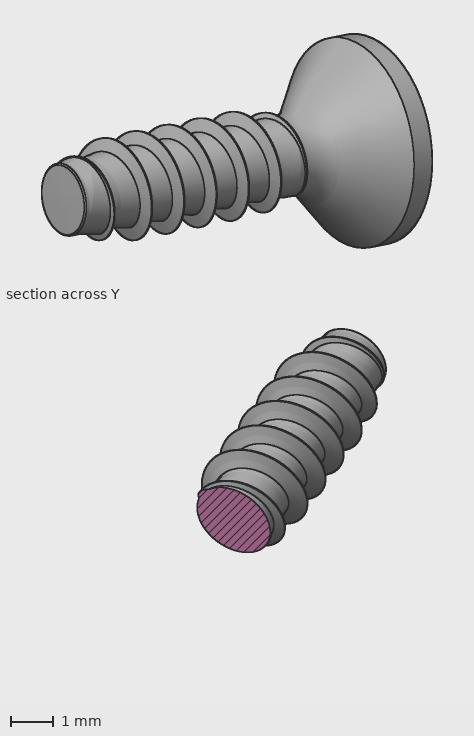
import cadquery as cq
import math

length = 9.0
head_radius = 2.5
rim_height = 0.56
rim_chamfer = 0.03

neck_radius = 0.96
fillet_radius = 1.01
neck_end = 2.72
root_start = 3.15
half_angle = math.radians(45)
fillet_start_radius = neck_radius + fillet_radius * (1 - math.cos(half_angle))
fillet_start = rim_height + head_radius - fillet_start_radius
fillet_end = fillet_start + fillet_radius * math.sin(half_angle)
fillet_mid_radius = neck_radius + fillet_radius * (1 - math.cos(half_angle / 2))
fillet_mid = fillet_end - fillet_radius * math.sin(half_angle / 2)

root_radius = 0.86
tip_chamfer = 0.04
tip_cone_height = 0.02
tip_rim = length - tip_cone_height
tip_taper_start = 8.46

six_turns = 5.7
pitch = six_turns / 6
crest_radius = 1.26
crest_x_depth = 3.54
thread_start = 2.34
full_start = 3.51
full_end = 7.56
thread_end = 8.91
start_crest_radius = 0.945
end_crest_radius = root_radius
points_per_piece = 8

thread_section = [(-0.3, -0.585), (-0.11, -0.225), (-0.02, 0.0), (0.01, 0.0), (0.2, -0.585)]

step_radius = 0.96
step_length = 0.6
buried_radius = 0.72
foot_overrun = 0.11
step_slope = (step_radius - root_radius) / step_length
step_foot = step_length + foot_overrun
step_end = length + pitch / 2
trim_clearance = 0.01
step_section = [(-0.05, buried_radius), (0.0, step_radius),
                (step_foot, step_radius - step_slope * step_foot), (step_foot, buried_radius)]


def crest_radius_at(depth):
    """Crest radius: rises over the first turns and falls toward the tip."""
    if depth < full_start:
        share = (depth - thread_start) / (full_start - thread_start)
        return start_crest_radius + share * (crest_radius - start_crest_radius)
    if depth > full_end:
        share = (depth - full_end) / (thread_end - full_end)
        return crest_radius + share * (end_crest_radius - crest_radius)
    return crest_radius


def helix_point(depth, axial_offset, radius):
    """Point of the helix whose crest lies at the given depth below the head face."""
    angle = 2 * math.pi * (depth - crest_x_depth) / pitch
    return cq.Vector(radius * math.cos(angle), -depth - axial_offset, radius * math.sin(angle))


def helix_edge(start, end, axial_offset, radius_at):
    """Piece of a right-hand helix around Y whose radius follows the crest depth."""
    depths = [start + (end - start) * i / points_per_piece for i in range(points_per_piece + 1)]
    return cq.Edge.makeSpline([helix_point(d, axial_offset, radius_at(d)) for d in depths])


def helical_solid(section, breaks):
    """Solid swept by a section of (axial offset, radius function), built piece by piece between breaks."""
    faces = []
    for start, end in zip(breaks, breaks[1:]):
        edges = [helix_edge(start, end, axial, radius_at) for axial, radius_at in section]
        faces += [cq.Face.makeRuledSurface(a, b) for a, b in zip(edges, edges[1:] + edges[:1])]
    for depth in (breaks[0], breaks[-1]):
        corners = [helix_point(depth, axial, radius_at(depth)) for axial, radius_at in section]
        faces.append(cq.Face.makeFromWires(cq.Wire.makePolygon(corners, close=True)))
    return cq.Solid.makeSolid(cq.Shell.makeShell(faces)).fix()


def split_evenly(start, end):
    """Depths that cut a stretch of helix into pieces of at most half a turn."""
    count = math.ceil((end - start) / (pitch / 2))
    return [start + (end - start) * i / count for i in range(count + 1)]


def make_body():
    """Head, neck, core and slightly pointed tip as one revolved outline."""
    return (
        cq.Workplane("XY")
        .lineTo(head_radius - rim_chamfer, 0)
        .lineTo(head_radius, -rim_chamfer)
        .lineTo(head_radius, -rim_height)
        .lineTo(fillet_start_radius, -fillet_start)
        .threePointArc((fillet_mid_radius, -fillet_mid), (neck_radius, -fillet_end))
        .lineTo(neck_radius, -neck_end)
        .lineTo(root_radius, -root_start)
        .lineTo(root_radius, -tip_rim + tip_chamfer)
        .lineTo(root_radius - tip_chamfer, -tip_rim)
        .lineTo(0, -length)
        .close()
        .revolve(360, (0, 0, 0), (0, 1, 0))
    )


def make_thread():
    """Sharp thread with a run-in at the neck and a run-out at the tip."""
    section = [
        (axial, lambda d, radial=radial: crest_radius_at(d) + radial)
        for axial, radial in thread_section
    ]
    run_in = split_evenly(thread_start, full_start)
    full = split_evenly(full_start, full_end)
    run_out = split_evenly(full_end, thread_end)
    return helical_solid(section, run_in + full[1:] + run_out[1:])


def make_step():
    """Sloped step that follows the thread on its tip side."""
    section = [(axial, lambda d, radius=radius: radius) for axial, radius in step_section]
    return helical_solid(section, split_evenly(thread_start, step_end))


def trim_at_tip(shape, outer_radius):
    """Cut a shape off at the tip, inside a cone that narrows to the edge of the tip face."""
    keep = (
        cq.Workplane("XY")
        .lineTo(outer_radius, 0)
        .lineTo(outer_radius, -tip_taper_start)
        .lineTo(root_radius - tip_chamfer, -tip_rim)
        .lineTo(0, -tip_rim)
        .close()
        .revolve(360, (0, 0, 0), (0, 1, 0))
    )
    return cq.Workplane(shape).intersect(keep)


body = make_body()
body = body.union(trim_at_tip(make_step(), step_radius + trim_clearance))
result = body.union(trim_at_tip(make_thread(), crest_radius + trim_clearance))